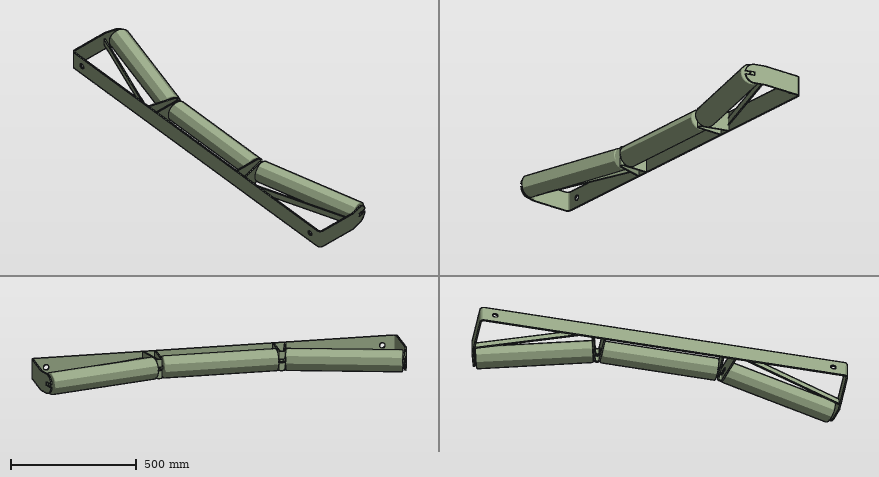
import cadquery as cq
import math

frame_length = 1490.0
frame_width = 80.0
frame_thickness = 6.0
frame_bend_radius = 16.0
upright_bend_y = 177.0
upright_end_length = 86.0
mount_hole_diameter = 22.0
mount_hole_edge_distance = 60.0

trough_angle = 15.0
roller_diameter = 89.0
roller_length = 465.0
roller_edge_radius = 5.0
middle_roller_y = 101.0
side_roller_x = 494.0
side_roller_y = 166.38

shaft_diameter = 18.0
shaft_flats = 14.0
shaft_length = 488.0

bracket_thickness = 6.0
bracket_inner_face_x = 237.0
bracket_top_y = 126.5
bracket_bend_radius = 13.0

brace_thickness = 6.0
brace_width = 28.0
brace_angle = 20.0
brace_top_y = 172.0

half_length = frame_length / 2
tilt = math.radians(trough_angle)


def centred_plate(outline, width):
    """Extrude a closed outline drawn in the XY plane to `width`, centred on Z = 0."""
    return outline.extrude(width).translate((0, 0, -width / 2))


def at_middle(body):
    """Move a body from the roller's own axes to the middle roller."""
    return body.translate((0, middle_roller_y, 0))


def at_side(body, side):
    """Move a body from the roller's own axes to the tilted roller on the given side (-1 or 1)."""
    tilted = body.rotate((0, 0, 0), (0, 0, 1), side * trough_angle)
    return tilted.translate((side * side_roller_x, side_roller_y, 0))


def mirrored_to(body, side):
    """A body built on the +X side, mirrored when side is -1."""
    return body if side > 0 else body.mirror("YZ")


def bar_along_x(diameter, length):
    return cq.Workplane("YZ", origin=(-length / 2, 0, 0)).circle(diameter / 2).extrude(length)


def make_roller():
    """Roller along X with its shaft, centred on the origin."""
    shell = bar_along_x(roller_diameter, roller_length).edges().fillet(roller_edge_radius)
    flats = cq.Workplane("XY").box(shaft_length, shaft_diameter, shaft_flats)
    shaft = bar_along_x(shaft_diameter, shaft_length).intersect(flats)
    return shell.union(shaft)


def shaft_slots():
    """Slots for both ends of a shaft, in the roller's own axes, open towards +Y."""
    slot_height = roller_diameter
    slot_span = shaft_length + 2 * frame_width
    slot = cq.Workplane("XY").box(slot_span, slot_height, shaft_flats)
    return slot.translate((0, (slot_height - shaft_diameter) / 2, 0))


def upright_end_trim(side, end_x, end_y):
    """Material outside the half-round end of an upright whose outer corner is (end_x, end_y)."""
    radius = frame_width / 2
    depth = 4 * frame_thickness
    corner_block = cq.Workplane("XY").box(depth, 2 * radius, 2 * frame_width)
    trim = corner_block.translate((0, radius, 0)).cut(bar_along_x(frame_width, depth))
    centre_x = end_x + radius * math.sin(tilt)
    centre_y = end_y - radius * math.cos(tilt)
    return trim.rotate((0, 0, 0), (0, 0, 1), side * trough_angle).translate((side * centre_x, centre_y, 0))


def make_frame():
    inner_x = half_length - frame_thickness
    inner_bend_y = upright_bend_y - frame_thickness * math.tan(tilt / 2)
    end_x = half_length - upright_end_length * math.sin(tilt)
    end_y = upright_bend_y + upright_end_length * math.cos(tilt)
    half_outline = [
        (half_length, 0),
        (half_length, upright_bend_y),
        (end_x, end_y),
        (end_x - frame_thickness * math.cos(tilt), end_y - frame_thickness * math.sin(tilt)),
        (inner_x, inner_bend_y),
        (inner_x, frame_thickness),
    ]
    other_half = [(-x, y) for x, y in reversed(half_outline)]
    frame = centred_plate(cq.Workplane("XY").polyline(half_outline + other_half).close(), frame_width)

    inner_radius = frame_bend_radius - frame_thickness
    bends = [
        (half_length, 0, frame_bend_radius),
        (inner_x, frame_thickness, inner_radius),
        (half_length, upright_bend_y, frame_bend_radius),
        (inner_x, inner_bend_y, inner_radius),
    ]
    for side in (-1, 1):
        for x, y, radius in bends:
            frame = frame.edges(cq.NearestToPointSelector((side * x, y, 0))).fillet(radius)
        frame = frame.cut(upright_end_trim(side, end_x, end_y))
        frame = frame.cut(at_side(shaft_slots(), side))

    hole_x = half_length - mount_hole_edge_distance
    holes = cq.Workplane("XZ").pushPoints([(-hole_x, 0), (hole_x, 0)]).circle(mount_hole_diameter / 2)
    return frame.cut(holes.extrude(-frame_thickness))


def make_bracket(side):
    """Bracket with a vertical leg facing the middle roller and a leg square to the side roller."""
    crown_x = bracket_inner_face_x + bracket_bend_radius
    crown_y = bracket_top_y - bracket_bend_radius

    def crown_point(radius, angle):
        return crown_x + radius * math.cos(angle), crown_y + radius * math.sin(angle)

    def foot_point(radius):
        x, y = crown_point(radius, tilt)
        return x + (y - frame_thickness) * math.tan(tilt), frame_thickness

    outer = bracket_bend_radius
    inner = bracket_bend_radius - bracket_thickness
    crown_middle = (math.pi + tilt) / 2
    outline = (
        cq.Workplane("XY")
        .moveTo(crown_x - outer, frame_thickness)
        .lineTo(crown_x - outer, crown_y)
        .threePointArc(crown_point(outer, crown_middle), crown_point(outer, tilt))
        .lineTo(*foot_point(outer))
        .lineTo(*foot_point(inner))
        .lineTo(*crown_point(inner, tilt))
        .threePointArc(crown_point(inner, crown_middle), (crown_x - inner, crown_y))
        .lineTo(crown_x - inner, frame_thickness)
        .close()
    )
    bracket = mirrored_to(centred_plate(outline, frame_width), side)
    return bracket.cut(at_middle(shaft_slots())).cut(at_side(shaft_slots(), side))


def make_brace(side):
    """Flat bar running from the upright down to the base."""
    slope = math.radians(brace_angle)
    upright_x = half_length - frame_thickness
    brace_bottom_y = brace_top_y - brace_thickness / math.cos(slope)

    def foot_x(start_y):
        return upright_x - (start_y - frame_thickness) / math.tan(slope)

    outline = cq.Workplane("XY").polyline([
        (upright_x, brace_top_y),
        (foot_x(brace_top_y), frame_thickness),
        (foot_x(brace_bottom_y), frame_thickness),
        (upright_x, brace_bottom_y),
    ]).close()
    return mirrored_to(centred_plate(outline, brace_width), side)


frame = make_frame()
middle_roller = at_middle(make_roller())
side_rollers = [at_side(make_roller(), side) for side in (-1, 1)]
brackets = [make_bracket(side) for side in (-1, 1)]
braces = [make_brace(side) for side in (-1, 1)]

bodies = [frame, middle_roller, *side_rollers, *brackets, *braces]
result = cq.Compound.makeCompound([body.val() for body in bodies])